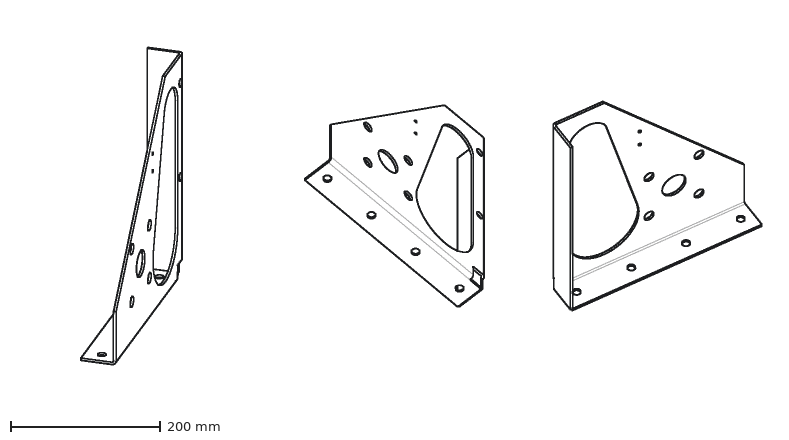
import cadquery as cq
import math

WIDTH = 49.3
DEPTH = 298.3
HEIGHT = 329.0

THICKNESS = 3.5
INNER_BEND_RADIUS = 2.3
OUTER_BEND_RADIUS = INNER_BEND_RADIUS + THICKNESS
BEND_START_X = WIDTH - OUTER_BEND_RADIUS
FLANGE_END_OFFSET = 3.3
RELIEF_SIZE = 24.5

TOP_EDGE_LENGTH = 80.0
FRONT_EDGE_HEIGHT = 79.0

WINDOW_BACK_Y = -24.5
WINDOW_LOWER_RADIUS = 55.0
WINDOW_UPPER_RADIUS = 30.5
WINDOW_LOWER_Z = 79.5
WINDOW_UPPER_Z = 268.0

MAIN_HOLE_DIAMETER = 36.8
MAIN_HOLE_Y = -188.8
MAIN_HOLE_Z = 101.0
BOLT_HOLE_DIAMETER = 14.8
BOLT_HOLE_SPACING = 78.0
BACK_HOLE_DIAMETER = 11.2
BACK_HOLE_Y = -12.2
BACK_HOLE_HEIGHTS = (149.5, 288.7)
PIN_HOLE_DIAMETER = 4.0
PIN_HOLE_Y = -135.5
PIN_HOLE_HEIGHTS = (213.5, 239.7)

BASE_HOLE_DIAMETER = 11.2
BASE_HOLE_X = 23.5
BASE_HOLE_FIRST_Y = -23.7
BASE_HOLE_SPACING = 85.2
BASE_HOLE_COUNT = 4


def box(x_range, y_range, z_range):
    """Axis-aligned box spanning the given ranges."""
    (x0, x1), (y0, y1), (z0, z1) = x_range, y_range, z_range
    return cq.Workplane("XY").box(x1 - x0, y1 - y0, z1 - z0, centered=False).translate((x0, y0, z0))


def folded_angle(plane, length):
    """Extruded L section with a rounded fold; its leg and upright lie along the plane's axes."""
    upright = max(DEPTH, HEIGHT)
    profile = (
        cq.Workplane(plane)
        .lineTo(BEND_START_X, 0)
        .radiusArc((WIDTH, OUTER_BEND_RADIUS), -OUTER_BEND_RADIUS)
        .lineTo(WIDTH, upright)
        .lineTo(WIDTH - THICKNESS, upright)
        .lineTo(WIDTH - THICKNESS, OUTER_BEND_RADIUS)
        .radiusArc((BEND_START_X, THICKNESS), INNER_BEND_RADIUS)
        .lineTo(0, THICKNESS)
        .close()
    )
    return profile.extrude(length)


def web_outline():
    """Side silhouette shared by the web and the flanges, as a full-width block."""
    return (
        cq.Workplane("YZ")
        .polyline([
            (0, 0),
            (-DEPTH, 0),
            (-DEPTH, FRONT_EDGE_HEIGHT),
            (-TOP_EDGE_LENGTH, HEIGHT),
            (0, HEIGHT),
        ])
        .close()
        .extrude(WIDTH)
    )


def bent_sheet():
    """Web with back and bottom flanges, including the corner relief."""
    bottom_plane = cq.Plane(origin=(0, 0, 0), xDir=(1, 0, 0), normal=(0, -1, 0))
    back_plane = cq.Plane(origin=(0, 0, HEIGHT), xDir=(1, 0, 0), normal=(0, 0, -1))
    relief = box((BEND_START_X, WIDTH), (-RELIEF_SIZE, 0), (0, RELIEF_SIZE))
    bottom_end = box((0, WIDTH), (-FLANGE_END_OFFSET, 0), (0, HEIGHT))
    back_end = box((0, WIDTH), (-DEPTH, 0), (0, FLANGE_END_OFFSET))
    bottom_zone = box((0, WIDTH), (-DEPTH, 0), (0, RELIEF_SIZE))
    back_zone = box((0, WIDTH), (-RELIEF_SIZE, 0), (0, HEIGHT))
    web = box((WIDTH - THICKNESS, WIDTH), (-DEPTH, -RELIEF_SIZE), (RELIEF_SIZE, HEIGHT))
    bottom = folded_angle(bottom_plane, DEPTH).intersect(bottom_zone).cut(bottom_end)
    back = folded_angle(back_plane, HEIGHT).intersect(back_zone).cut(back_end)
    return web.union(bottom.cut(relief)).union(back.cut(relief)).intersect(web_outline())


def window():
    """Cutter bounded by two circles and their two outer tangents."""
    lower_y = WINDOW_BACK_Y - WINDOW_LOWER_RADIUS
    upper_y = WINDOW_BACK_Y - WINDOW_UPPER_RADIUS
    lean = math.atan2(lower_y - upper_y, WINDOW_UPPER_Z - WINDOW_LOWER_Z)
    tangent_angle = math.pi + 2 * lean

    def on_circle(centre_y, centre_z, radius, angle):
        return (centre_y + radius * math.cos(angle), centre_z + radius * math.sin(angle))

    lower = (lower_y, WINDOW_LOWER_Z, WINDOW_LOWER_RADIUS)
    upper = (upper_y, WINDOW_UPPER_Z, WINDOW_UPPER_RADIUS)
    return (
        cq.Workplane("YZ")
        .moveTo(*on_circle(*lower, 0))
        .lineTo(*on_circle(*upper, 0))
        .threePointArc(on_circle(*upper, tangent_angle / 2), on_circle(*upper, tangent_angle))
        .lineTo(*on_circle(*lower, tangent_angle))
        .threePointArc(on_circle(*lower, tangent_angle / 2 + math.pi), on_circle(*lower, 0))
        .close()
        .extrude(WIDTH)
    )


def web_holes(points, diameter):
    """Cutters through the web at (Y, Z) points, clear of the back flange."""
    return (
        cq.Workplane("YZ", origin=(BEND_START_X, 0, 0))
        .pushPoints(points)
        .circle(diameter / 2)
        .extrude(OUTER_BEND_RADIUS)
    )


def base_holes():
    """Row of holes through the bottom flange."""
    points = [
        (BASE_HOLE_X, BASE_HOLE_FIRST_Y - index * BASE_HOLE_SPACING)
        for index in range(BASE_HOLE_COUNT)
    ]
    return cq.Workplane("XY").pushPoints(points).circle(BASE_HOLE_DIAMETER / 2).extrude(THICKNESS)


half_spacing = BOLT_HOLE_SPACING / 2
bolt_points = [
    (MAIN_HOLE_Y + side * half_spacing, MAIN_HOLE_Z + level * half_spacing)
    for side in (-1, 1)
    for level in (-1, 1)
]
back_points = [(BACK_HOLE_Y, z) for z in BACK_HOLE_HEIGHTS]
pin_points = [(PIN_HOLE_Y, z) for z in PIN_HOLE_HEIGHTS]

result = (
    bent_sheet()
    .cut(window())
    .cut(web_holes([(MAIN_HOLE_Y, MAIN_HOLE_Z)], MAIN_HOLE_DIAMETER))
    .cut(web_holes(bolt_points, BOLT_HOLE_DIAMETER))
    .cut(web_holes(back_points, BACK_HOLE_DIAMETER))
    .cut(web_holes(pin_points, PIN_HOLE_DIAMETER))
    .cut(base_holes())
)